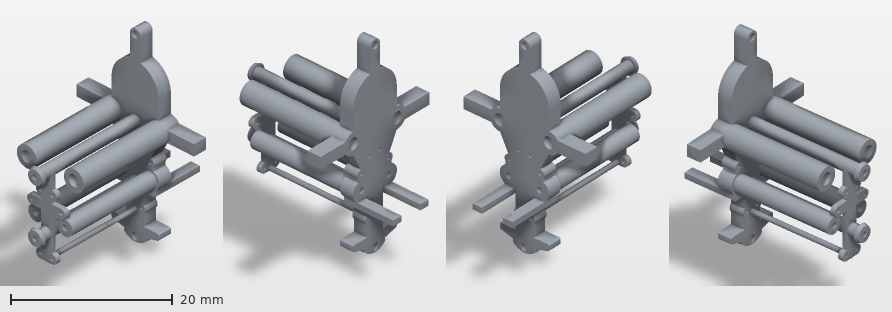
import cadquery as cq

PLATE_THICKNESS = 2.2
TUBE_LENGTH = 17.4
CLAMP_THICKNESS = 0.75
CLAMP_FRONT = TUBE_LENGTH + CLAMP_THICKNESS
HEAD_BASE = 19.65
HEAD_HEIGHT = 0.55
PRONG_REACH = 6.0

TOTAL_HEIGHT = 31.25

BODY_RADIUS = 4.0
BODY_ARC_Z = 4.85
TAPER_TOP_Z = -1.7
TAPER_END = (2.6, -4.45)
WAIST_HALF_WIDTH = 3.05
LUG_RADIUS = 0.9
LUG_TOP_Z = 13.45
LUG_Z = LUG_TOP_Z - LUG_RADIUS
MOUNT_HOLE_DIAMETER = 1.1

ARM_HALF_SPAN = 10.0
ARM_HEIGHT = 1.8

LARGE_TUBE_X = BODY_RADIUS
LARGE_TUBE_DIAMETER = 3.4
LARGE_TUBE_BORE = 1.8

SMALL_TUBE_X = 2.5
SMALL_TUBE_Z = -7.6
SMALL_TUBE_DIAMETER = 2.5
SMALL_TUBE_BORE = 0.9
PAD_RADIUS = 1.53

PRONG_INNER_X = 1.72
PRONG_WIDTH = 1.53
PRONG_BOTTOM_Z = -9.9
PRONG_HEIGHT = 0.87

STEM_HALF_WIDTH = 1.47
FOOT_TOP_Z = -14.95
FOOT_TIP_Z = -15.93
FOOT_CORNER_RADIUS = 0.25
TOE_TOP = (1.8, -16.5)
TOE_BULGE = (1.87, -16.7)
TOE_BOTTOM = (1.85, -17.0)
FOOT_BOTTOM_Z = LUG_TOP_Z - TOTAL_HEIGHT
FOOT_HOLE_Z = -17.0

PIN_DIAMETER = 1.8
PIN_ZS = (0.0, -8.97)
HEAD_BASE_DIAMETER = 2.7
HEAD_TIP_DIAMETER = 2.28
PIN_SOCKET_DIAMETER = 0.8
THIN_PIN_DIAMETER = 0.75
THIN_PIN_Z = -12.93

CLAMP_HALF_WIDTH = PIN_DIAMETER / 2
EYELET_RADIUS = 0.75
EYELET_HOLE_DIAMETER = 0.5
EYELET_ROWS = ((1.0, -3.2), (2.5, -5.2), (1.0, -12.5))


def cylinder(x, z, diameter, start, end):
    """Cylinder along -Y between two depth stations."""
    plane = cq.Workplane("XZ", origin=(x, -start, z))
    return plane.circle(diameter / 2).extrude(end - start)


def block(x_min, x_max, z_min, z_max, start, end):
    """Box between two depth stations."""
    plane = cq.Workplane("XZ", origin=((x_min + x_max) / 2, -start, (z_min + z_max) / 2))
    return plane.rect(x_max - x_min, z_max - z_min).extrude(end - start)


def eyelet_pair(half_spacing, z, start, end):
    """Rounded bar spanning two eyelets."""
    plane = cq.Workplane("XZ", origin=(0, -start, z))
    return plane.slot2D(2 * (half_spacing + EYELET_RADIUS), 2 * EYELET_RADIUS).extrude(end - start)


def make_body():
    """Round-topped body that tapers down to the waist between the small tubes."""
    taper_x, taper_z = TAPER_END
    return (
        cq.Workplane("XZ")
        .moveTo(BODY_RADIUS, BODY_ARC_Z)
        .threePointArc((0, BODY_ARC_Z + BODY_RADIUS), (-BODY_RADIUS, BODY_ARC_Z))
        .lineTo(-BODY_RADIUS, TAPER_TOP_Z)
        .lineTo(-taper_x, taper_z)
        .lineTo(taper_x, taper_z)
        .lineTo(BODY_RADIUS, TAPER_TOP_Z)
        .close()
        .extrude(PLATE_THICKNESS)
    )


def make_foot():
    """Cross foot with sloped undersides and a rounded toe."""
    toe_x, toe_z = TOE_TOP
    bulge_x, bulge_z = TOE_BULGE
    end_x, end_z = TOE_BOTTOM
    foot = (
        cq.Workplane("XZ")
        .moveTo(-BODY_RADIUS, FOOT_TOP_Z)
        .lineTo(BODY_RADIUS, FOOT_TOP_Z)
        .lineTo(BODY_RADIUS, FOOT_TIP_Z)
        .lineTo(toe_x, toe_z)
        .threePointArc((bulge_x, bulge_z), (end_x, end_z))
        .threePointArc((0, FOOT_BOTTOM_Z), (-end_x, end_z))
        .threePointArc((-bulge_x, bulge_z), (-toe_x, toe_z))
        .lineTo(-BODY_RADIUS, FOOT_TIP_Z)
        .close()
        .extrude(PLATE_THICKNESS)
    )
    return foot.edges("|Y and (>X or <X)").fillet(FOOT_CORNER_RADIUS)


def make_base_plate():
    depth = PLATE_THICKNESS
    plate = make_body()
    plate = plate.union(block(-LUG_RADIUS, LUG_RADIUS, BODY_ARC_Z, LUG_Z, 0, depth))
    plate = plate.union(cylinder(0, LUG_Z, 2 * LUG_RADIUS, 0, depth))
    plate = plate.union(block(-ARM_HALF_SPAN, ARM_HALF_SPAN, -ARM_HEIGHT / 2, ARM_HEIGHT / 2, 0, depth))
    waist_top_z = EYELET_ROWS[1][1]
    plate = plate.union(block(-WAIST_HALF_WIDTH, WAIST_HALF_WIDTH, SMALL_TUBE_Z, waist_top_z, 0, depth))
    plate = plate.union(block(-STEM_HALF_WIDTH, STEM_HALF_WIDTH, FOOT_TOP_Z, SMALL_TUBE_Z, 0, depth))
    for half_spacing, z in EYELET_ROWS:
        plate = plate.union(eyelet_pair(half_spacing, z, 0, depth))
    return plate.union(make_foot())


def make_side_features(side):
    """Tubes, pad and prong on one side; side is -1 or 1."""
    large_x = side * LARGE_TUBE_X
    small_x = side * SMALL_TUBE_X
    prong_x = side * (PRONG_INNER_X + PRONG_WIDTH / 2)
    prong_left = prong_x - PRONG_WIDTH / 2
    prong_right = prong_x + PRONG_WIDTH / 2
    prong_top_z = PRONG_BOTTOM_Z + PRONG_HEIGHT
    leg = block(prong_left, prong_right, PRONG_BOTTOM_Z, SMALL_TUBE_Z, 0, PLATE_THICKNESS)
    prong = block(prong_left, prong_right, PRONG_BOTTOM_Z, prong_top_z, -PRONG_REACH, PLATE_THICKNESS)
    return (
        cylinder(large_x, 0, LARGE_TUBE_DIAMETER, 0, TUBE_LENGTH)
        .union(cylinder(small_x, SMALL_TUBE_Z, 2 * PAD_RADIUS, 0, PLATE_THICKNESS))
        .union(cylinder(small_x, SMALL_TUBE_Z, SMALL_TUBE_DIAMETER, 0, TUBE_LENGTH))
        .union(leg)
        .union(prong)
    )


def make_clamp():
    """Flat bar with eyelets in front of the tubes."""
    bottom_z = EYELET_ROWS[-1][1] - EYELET_RADIUS
    clamp = block(-CLAMP_HALF_WIDTH, CLAMP_HALF_WIDTH, bottom_z, 0, TUBE_LENGTH, CLAMP_FRONT)
    for half_spacing, z in EYELET_ROWS:
        clamp = clamp.union(eyelet_pair(half_spacing, z, TUBE_LENGTH, CLAMP_FRONT))
    return clamp


def make_headed_pin(z):
    """Pin with a tapered head."""
    head = (
        cq.Workplane("XZ", origin=(0, -HEAD_BASE, z))
        .circle(HEAD_BASE_DIAMETER / 2)
        .workplane(offset=HEAD_HEIGHT)
        .circle(HEAD_TIP_DIAMETER / 2)
        .loft()
    )
    return cylinder(0, z, PIN_DIAMETER, 0, HEAD_BASE).union(head)


part = make_base_plate()
for side in (-1, 1):
    part = part.union(make_side_features(side))
part = part.union(make_clamp())
for pin_z in PIN_ZS:
    part = part.union(make_headed_pin(pin_z))
part = part.union(cylinder(0, THIN_PIN_Z, THIN_PIN_DIAMETER, 0, CLAMP_FRONT))

part = part.cut(cylinder(0, LUG_Z, MOUNT_HOLE_DIAMETER, 0, PLATE_THICKNESS))
part = part.cut(cylinder(0, FOOT_HOLE_Z, MOUNT_HOLE_DIAMETER, 0, PLATE_THICKNESS))
for side in (-1, 1):
    part = part.cut(cylinder(side * LARGE_TUBE_X, 0, LARGE_TUBE_BORE, 0, TUBE_LENGTH))
    part = part.cut(cylinder(side * SMALL_TUBE_X, SMALL_TUBE_Z, SMALL_TUBE_BORE, 0, TUBE_LENGTH))
    for half_spacing, z in EYELET_ROWS:
        part = part.cut(cylinder(side * half_spacing, z, EYELET_HOLE_DIAMETER, 0, CLAMP_FRONT))

for pin_z in PIN_ZS:
    part = part.cut(cylinder(0, pin_z, PIN_SOCKET_DIAMETER, HEAD_BASE, HEAD_BASE + HEAD_HEIGHT))

result = part